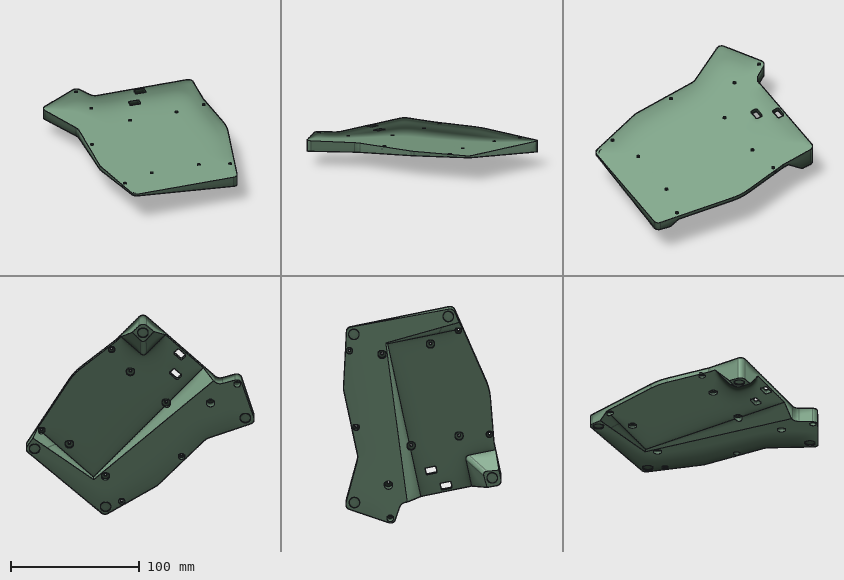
import cadquery as cq
import math

BODY_RIGHT_X = 157.17
BODY_LEFT_X = 13.9
BODY_BACK_Y = 122.6
BODY_FRONT_Y = 17.0

CORNER_RADIUS = 4.1
NECK_RADIUS = 6.0
BEND_RADIUS = 10.0
CREST_RADIUS = 45.0
OUTLINE = [
    ((-1.46, 33.45), CORNER_RADIUS),
    ((18.3, -1.3), CORNER_RADIUS),
    ((54.8, BODY_FRONT_Y), BEND_RADIUS),
    ((110.2, BODY_FRONT_Y), BEND_RADIUS),
    ((BODY_RIGHT_X, 29.4), CORNER_RADIUS),
    ((BODY_RIGHT_X, 114.0), CORNER_RADIUS),
    ((86.5, 128.17), CREST_RADIUS),
    ((43.7, BODY_BACK_Y), BEND_RADIUS),
    ((BODY_LEFT_X, BODY_BACK_Y), CORNER_RADIUS),
    ((BODY_LEFT_X, 42.5), NECK_RADIUS),
]

TILT_X = 4.0
TILT_Y = 5.0
SLOPE_X = math.tan(math.radians(TILT_X))
SLOPE_Y = -math.tan(math.radians(TILT_Y))
BASE_Z = -9.87

MAX_DEPTH = 30.0
FAR = 500.0

ROOF_Z = -4.0
ROOF_FRONT_Y = 58.2
ROOF_BACK_Y = 98.5
ROOF_LEFT_X = 38.6
ROOF_RIGHT_X = 138.7
WALL_DRAFT = 45.0
FOOT_EDGE_RADIUS = 4.2

HOLE_DIAMETER = 2.2
HEAD_Z = -2.0
RIM_HEAD_DIAMETER = 5.0
RIM_HOLES = [(51.5, 120.5), (137.8, 114.1), (3.7, 31.8), (139.1, 27.9), (78.9, 20.5)]
INNER_HEAD_DIAMETER = 6.5
INNER_HOLES = [(55.1, 97.2), (55.1, 59.2), (131.6, 90.6), (131.6, 52.2), (29.7, 35.8)]

PAD_DIAMETER = 8.2
PAD_DEPTH = 1.0
PADS = [(21.0, 7.0), (19.9, 116.6), (151.2, 34.0), (151.2, 109.3)]

WINDOW_X = 5.5
WINDOW_Y = 8.5
WINDOW_RADIUS = 1.0
WINDOWS = [(18.3, 79.1), (32.6, 70.2)]


def rounded_outline():
    """Closed outline wire, each corner replaced by a tangent arc."""
    count = len(OUTLINE)
    path = None
    for i, (point, radius) in enumerate(OUTLINE):
        corner = cq.Vector(*point)
        to_previous = (cq.Vector(*OUTLINE[i - 1][0]) - corner).normalized()
        to_next = (cq.Vector(*OUTLINE[(i + 1) % count][0]) - corner).normalized()
        half = to_previous.getAngle(to_next) / 2
        setback = radius / math.tan(half)
        bisector = (to_previous + to_next).normalized()
        start = corner + to_previous * setback
        middle = corner + bisector * (radius / math.sin(half) - radius)
        end = corner + to_next * setback
        start, middle, end = [(p.x, p.y) for p in (start, middle, end)]
        if path is None:
            path = cq.Workplane("XY").moveTo(*start)
        else:
            path = path.lineTo(*start)
        path = path.threePointArc(middle, end)
    return path.close()


def underside_plane():
    """Plane of the underside, its normal pointing up into the part."""
    return cq.Plane(origin=(0, 0, BASE_Z), xDir=(1, 0, SLOPE_X), normal=(-SLOPE_X, -SLOPE_Y, 1))


def wedge_body():
    """Plate outline filled solid from the flat top down to the tilted underside."""
    prism = rounded_outline().extrude(-MAX_DEPTH)
    above_underside = cq.Workplane(underside_plane()).rect(FAR, FAR).extrude(FAR)
    return prism.intersect(above_underside)


def rectangle_points(x_min, x_max, y_min, y_max):
    return [(x_min, y_min), (x_max, y_min), (x_max, y_max), (x_min, y_max)]


def drafted_cutter(x_min, x_max, y_min, y_max):
    """Four-sided cutter, given at the roof, that widens downward."""
    left_spread = MAX_DEPTH * math.tan(math.radians(WALL_DRAFT - TILT_X))
    right_spread = MAX_DEPTH * math.tan(math.radians(WALL_DRAFT + TILT_X))
    front_spread = MAX_DEPTH * math.tan(math.radians(WALL_DRAFT + TILT_Y))
    back_spread = MAX_DEPTH * math.tan(math.radians(WALL_DRAFT - TILT_Y))
    roof = rectangle_points(x_min, x_max, y_min, y_max)
    mouth = rectangle_points(
        x_min - left_spread, x_max + right_spread, y_min - front_spread, y_max + back_spread
    )
    return (
        cq.Workplane("XY", origin=(0, 0, ROOF_Z))
        .polyline(roof)
        .close()
        .workplane(offset=-MAX_DEPTH, origin=(0, 0, ROOF_Z))
        .polyline(mouth)
        .close()
        .loft(ruled=True)
    )


def pocket():
    """L-shaped cutter, rounded along the inner edge of the corner foot."""
    to_left = drafted_cutter(-FAR, ROOF_RIGHT_X, ROOF_FRONT_Y, ROOF_BACK_Y)
    to_back = drafted_cutter(ROOF_LEFT_X, ROOF_RIGHT_X, ROOF_FRONT_Y, FAR)
    drop = MAX_DEPTH / 2
    near_foot_edge = (ROOF_LEFT_X - drop, ROOF_BACK_Y + drop, ROOF_Z - drop)
    foot_edge = cq.NearestToPointSelector(near_foot_edge)
    return to_left.union(to_back).edges(foot_edge).fillet(FOOT_EDGE_RADIUS)


def screw_holes(points, head_diameter):
    """Through shafts with a wider head recess below HEAD_Z."""
    shafts = cq.Workplane("XY").pushPoints(points).circle(HOLE_DIAMETER / 2).extrude(-MAX_DEPTH)
    heads = (
        cq.Workplane("XY", origin=(0, 0, HEAD_Z))
        .pushPoints(points)
        .circle(head_diameter / 2)
        .extrude(-MAX_DEPTH)
    )
    return shafts.union(heads)


def pad_recesses():
    return cq.Workplane(underside_plane()).pushPoints(PADS).circle(PAD_DIAMETER / 2).extrude(PAD_DEPTH)


def windows():
    return (
        cq.Workplane("XY")
        .pushPoints(WINDOWS)
        .rect(WINDOW_X, WINDOW_Y)
        .extrude(-MAX_DEPTH)
        .edges("|Z")
        .fillet(WINDOW_RADIUS)
    )


result = (
    wedge_body()
    .cut(pocket())
    .cut(screw_holes(RIM_HOLES, RIM_HEAD_DIAMETER))
    .cut(screw_holes(INNER_HOLES, INNER_HEAD_DIAMETER))
    .cut(pad_recesses())
    .cut(windows())
)